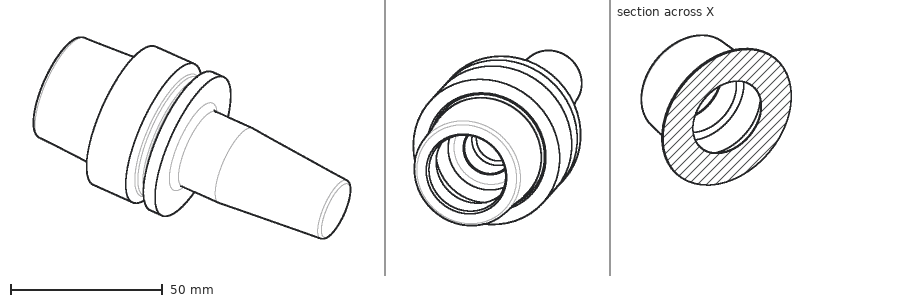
import cadquery as cq
import math

overall_length = 104.9
taper_end = 22.8
relief_start = 23.7
flange_front = 24.7
flange_back = 50.7
nose_start = 66.8

flange_radius = 50.0 / 2
taper_small_radius = 18.0
taper_large_radius = 19.2
relief_radius = 19.0
neck_radius = 13.5
nose_tip_radius = 10.5

shank_rounding = 1.0
tip_rounding = 0.9
neck_fillet = 2.2

crest_drop_start = 23.4
crest_radius = 19.1
undercut_fillet = 0.7
undercut_rim_radius = 20.4
undercut_depth = 0.4

groove_centre = 42.9
groove_width = 6.7
groove_floor_radius = 21.4
groove_wall_angle = 63.0
groove_fillet = 0.9

mouth_radius = 13.1
mouth_chamfer_radius = 13.7
mouth_chamfer_length = 1.0
mouth_end = 10.0
chamber_radius = 16.0
chamber_end = 20.1
chamber_cone_angle = 30.0
seat_radius = 13.2
floor_flat_radius = 11.7
floor_depth = 26.7
floor_fillet = seat_radius - floor_flat_radius

blind_hole_radius = 8.2
blind_hole_depth = 10.5
blind_hole_chamfer = 0.3
blind_hole_floor_radius = 6.9
blind_hole_cone_length = 1.0


def revolve_about_x(profile):
    """Turn a closed half profile (X along the axis, Y as radius) about the X axis."""
    return profile.close().revolve(360, (0, 0, 0), (1, 0, 0))


def ring_edge(x, radius):
    """Selector for the circular edge of the given radius at the given axial station."""
    margin = 0.05
    return cq.selectors.BoxSelector(
        (x - margin, -radius - margin, -radius - margin),
        (x + margin, radius + margin, radius + margin),
        boundingbox=True,
    )


def make_body():
    """Shank taper, flange, neck and tapered nose as one turned solid."""
    undercut_floor = flange_front + undercut_depth
    profile = (
        cq.Workplane("XY")
        .lineTo(0, taper_small_radius)
        .lineTo(taper_end, taper_large_radius)
        .lineTo(crest_drop_start, crest_radius)
        .lineTo(relief_start, relief_radius)
        .lineTo(undercut_floor - undercut_fillet, relief_radius)
        .radiusArc((undercut_floor, relief_radius + undercut_fillet), -undercut_fillet)
        .lineTo(flange_front, undercut_rim_radius)
        .lineTo(flange_front, flange_radius)
        .lineTo(flange_back, flange_radius)
        .lineTo(flange_back, neck_radius)
        .lineTo(nose_start, neck_radius)
        .lineTo(overall_length, nose_tip_radius)
        .lineTo(overall_length, 0)
    )
    body = revolve_about_x(profile)
    body = body.edges(ring_edge(0, taper_small_radius)).fillet(shank_rounding)
    body = body.edges(ring_edge(flange_back, neck_radius)).fillet(neck_fillet)
    return body.edges(ring_edge(overall_length, nose_tip_radius)).fillet(tip_rounding)


def make_groove():
    """Ring that cuts the V-groove, with its floor corners rounded."""
    wall_run = (flange_radius - groove_floor_radius) / math.tan(math.radians(groove_wall_angle))
    half_top = groove_width / 2
    half_floor = half_top - wall_run
    profile = (
        cq.Workplane("XY")
        .moveTo(groove_centre - half_top, flange_radius)
        .lineTo(groove_centre - half_floor, groove_floor_radius)
        .lineTo(groove_centre + half_floor, groove_floor_radius)
        .lineTo(groove_centre + half_top, flange_radius)
    )
    ring = revolve_about_x(profile)
    for x in (groove_centre - half_floor, groove_centre + half_floor):
        ring = ring.edges(ring_edge(x, groove_floor_radius)).fillet(groove_fillet)
    return ring


def make_bore():
    """Chamfered mouth, wider chamber, rounded seat behind it, and the blind hole in its floor."""
    cone_length = (chamber_radius - seat_radius) / math.tan(math.radians(chamber_cone_angle))
    hole_end = floor_depth + blind_hole_depth
    profile = (
        cq.Workplane("XY")
        .lineTo(0, mouth_chamfer_radius)
        .lineTo(mouth_chamfer_length, mouth_radius)
        .lineTo(mouth_end, mouth_radius)
        .lineTo(mouth_end, chamber_radius)
        .lineTo(chamber_end, chamber_radius)
        .lineTo(chamber_end + cone_length, seat_radius)
        .lineTo(floor_depth - floor_fillet, seat_radius)
        .radiusArc((floor_depth, floor_flat_radius), floor_fillet)
        .lineTo(floor_depth, blind_hole_radius + blind_hole_chamfer)
        .lineTo(floor_depth + blind_hole_chamfer, blind_hole_radius)
        .lineTo(hole_end - blind_hole_cone_length, blind_hole_radius)
        .lineTo(hole_end, blind_hole_floor_radius)
        .lineTo(hole_end, 0)
    )
    return revolve_about_x(profile)


result = make_body().cut(make_groove()).cut(make_bore())